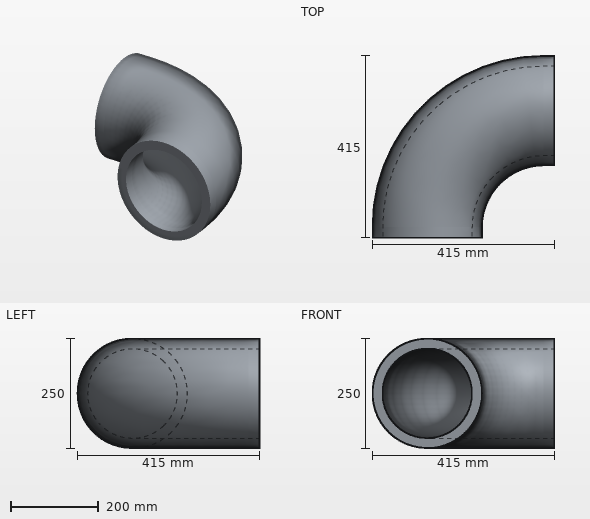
import cadquery as cq

overall_length = 415.0
outer_diameter = 250.0
bore_diameter = 204.0
end_length = 25.0

outer_radius = outer_diameter / 2
bend_radius = overall_length - end_length - outer_radius
bend_angle = 90


def elbow(diameter):
    """Solid round bar that runs along +Y, bends through 90 degrees and leaves along +X."""
    radius = diameter / 2
    front_end = cq.Workplane("XZ").circle(radius).extrude(end_length)
    bend = cq.Workplane("XZ").circle(radius).revolve(
        bend_angle, (bend_radius, 0, 0), (bend_radius, -1, 0)
    )
    side_end = (
        cq.Workplane("YZ", origin=(bend_radius, bend_radius, 0))
        .circle(radius)
        .extrude(end_length)
    )
    return front_end.union(bend).union(side_end)


result = elbow(outer_diameter).cut(elbow(bore_diameter))